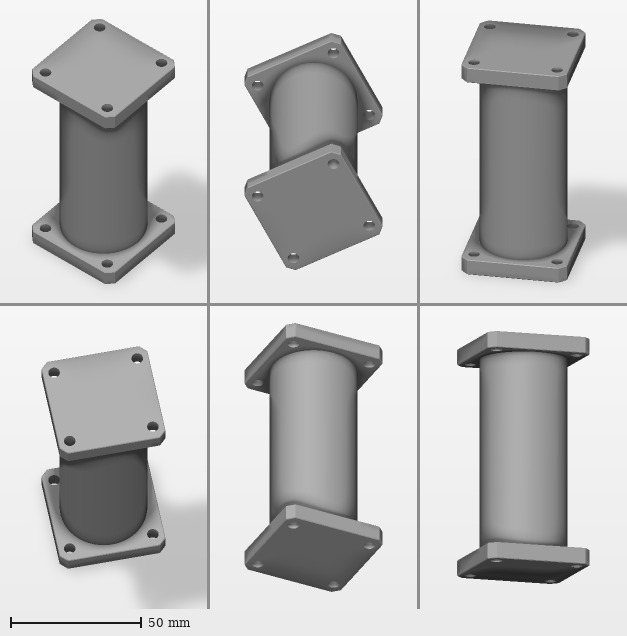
import cadquery as cq

total_height = 88.9
flange_width = 41.4
flange_thickness = 6.3
corner_cut = 2.8
rim_chamfer = 0.3
column_diameter = 33.7
hole_diameter = 4.45
hole_spacing_x = 30.85
hole_spacing_y = 32.5

column_length = total_height - 2 * flange_thickness


def make_flange():
    """Bottom flange: square plate with cut corners, chamfered rims and four bolt holes."""
    plate = (
        cq.Workplane("XY")
        .rect(flange_width, flange_width)
        .extrude(flange_thickness)
        .edges("|Z")
        .chamfer(corner_cut)
    )
    plate = plate.faces("<Z or >Z").edges().chamfer(rim_chamfer)
    holes = (
        cq.Workplane("XY")
        .rect(hole_spacing_x, hole_spacing_y, forConstruction=True)
        .vertices()
        .circle(hole_diameter / 2)
        .extrude(flange_thickness)
    )
    return plate.cut(holes)


def make_column():
    """Round column spanning the gap between the two flanges."""
    return (
        cq.Workplane("XY")
        .workplane(offset=flange_thickness)
        .circle(column_diameter / 2)
        .extrude(column_length)
    )


bottom_flange = make_flange()
top_flange = bottom_flange.mirror("XY", (0, 0, total_height / 2))

result = make_column().union(bottom_flange).union(top_flange)